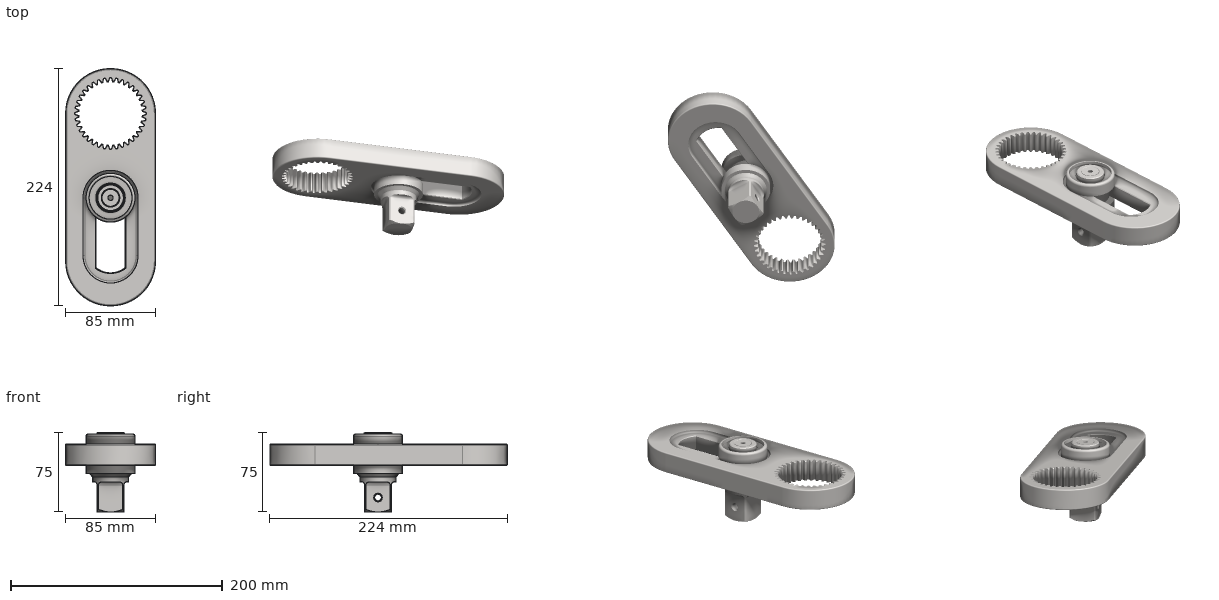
import cadquery as cq
import math


ARM_LENGTH = 224.0
ARM_WIDTH = 85.0
ARM_THICKNESS = 20.2
ARM_EDGE_FILLET = 1.1
ARM_END_RADIUS = ARM_WIDTH / 2
SPLINE_CENTER_Y = 79.5
ARM_CENTER_Y = SPLINE_CENTER_Y + ARM_END_RADIUS - ARM_LENGTH / 2

TOOTH_COUNT = 36
SPLINE_ROOT_RADIUS = 33.5
SPLINE_TIP_RADIUS = 30.0
TOOTH_TIP_CHAMFER = 0.7
ROOT_GAP_ANGLE = math.radians(2.6)
TIP_GAP_ANGLE = math.radians(7.8)

SLOT_TRAVEL = 54.5
SLOT_WIDTH = 27.3
SLOT_END_RADIUS = 22.5
SLOT_END_REACH = 16.4
SLOT_CHAMFER = 0.7
RIM_TAPER = -45
RECESS_DEPTH = 2.7
RECESS_RADIUS = 26.0
RECESS_FLOOR_FILLET = 1.8
WEB_BOTTOM = RECESS_DEPTH
WEB_TOP = ARM_THICKNESS - RECESS_DEPTH
WEB_THICKNESS = WEB_TOP - WEB_BOTTOM

SHANK_RADIUS = 17.0
JOURNAL_RADIUS = 13.0
JOURNAL_CHAMFER_WIDTH = 1.0
JOURNAL_CHAMFER_HEIGHT = 0.7
SPINDLE_TOP = ARM_THICKNESS + 11.0
SPINDLE_LENGTH = 75.0
SPINDLE_BOTTOM = SPINDLE_TOP - SPINDLE_LENGTH
SQUARE_SIDE = 25.3
SQUARE_SHOULDER = -15.5
SQUARE_ROOT_FILLET = 3.0
DRIVE_END_CHAMFER_WIDTH = 4.3
DRIVE_END_CHAMFER_HEIGHT = 2.5
DETENT_HOLE_RADIUS = 3.1
DETENT_HOLE_CHAMFER = 1.0
DETENT_HOLE_HEIGHT = SPINDLE_BOTTOM + 13.7

BUTTON_RADIUS = 8.0
BUTTON_MOUTH_CHAMFER = 0.7
BUTTON_POCKET_DEPTH = 6.7
BUTTON_HOLE_RADIUS = 2.5

COLLAR_RADIUS = 23.0
UPPER_COLLAR_TOP = ARM_THICKNESS + 9.6
UPPER_COLLAR_FILLET = 2.2
UPPER_COLLAR_BORE_RADIUS = 20.2
LOWER_COLLAR_BOTTOM = -7.6
LOWER_CONE_RADIUS = 19.7
LOWER_CONE_HEIGHT = 3.4

DISC_TOP = SPINDLE_TOP - 5.2
DISC_THICKNESS = 1.3
DISC_HOLE_RADIUS = 14.0
DISC_BOTTOM = DISC_TOP - DISC_THICKNESS


def cylinder(radius, bottom, top):
    return cq.Workplane("XY", origin=(0, 0, bottom)).circle(radius).extrude(top - bottom)


def revolved(profile):
    """Body of revolution about the Z axis from (radius, height) points."""
    return cq.Workplane("XZ").polyline(profile).close().revolve(360, (0, 0, 0), (0, 1, 0))


def recess(bottom, floor):
    """Round-ended pocket along the slot travel; `floor` selects its filleted floor."""
    return (
        cq.Workplane("XY", origin=(0, -SLOT_TRAVEL / 2, bottom))
        .slot2D(SLOT_TRAVEL + 2 * RECESS_RADIUS, 2 * RECESS_RADIUS, 90)
        .extrude(RECESS_DEPTH)
        .faces(floor)
        .edges()
        .fillet(RECESS_FLOOR_FILLET)
    )


def guide_prism(start, height, travel=0.0, taper=0.0):
    """Flat-sided prism with gently rounded ends, lengthened along -Y by `travel`."""
    half_width = SLOT_WIDTH / 2
    end_rise = SLOT_END_RADIUS - math.sqrt(SLOT_END_RADIUS**2 - half_width**2)
    corner_y = SLOT_END_REACH - end_rise
    return (
        cq.Workplane("XY", origin=(0, 0, start))
        .moveTo(half_width, -travel - corner_y)
        .lineTo(half_width, corner_y)
        .threePointArc((0, SLOT_END_REACH), (-half_width, corner_y))
        .lineTo(-half_width, -travel - corner_y)
        .threePointArc((0, -travel - SLOT_END_REACH), (half_width, -travel - corner_y))
        .close()
        .extrude(height, taper=taper)
    )


def slot():
    """Through slot, chamfered where it opens into each recess."""
    opening = guide_prism(WEB_BOTTOM, WEB_THICKNESS, SLOT_TRAVEL)
    top_rim = guide_prism(WEB_TOP - SLOT_CHAMFER, SLOT_CHAMFER, SLOT_TRAVEL, RIM_TAPER)
    bottom_rim = guide_prism(WEB_BOTTOM + SLOT_CHAMFER, -SLOT_CHAMFER, SLOT_TRAVEL, RIM_TAPER)
    return opening.union(top_rim).union(bottom_rim)


def spline_hole():
    """Hole with straight-sided teeth; a gap between two teeth lies on the Y axis."""

    def polar(radius, angle):
        return (radius * math.sin(angle), radius * math.cos(angle))

    points = []
    for tooth in range(TOOTH_COUNT):
        gap_angle = 2 * math.pi * tooth / TOOTH_COUNT
        points += [
            polar(SPLINE_TIP_RADIUS, gap_angle - TIP_GAP_ANGLE / 2),
            polar(SPLINE_ROOT_RADIUS, gap_angle - ROOT_GAP_ANGLE / 2),
            polar(SPLINE_ROOT_RADIUS, gap_angle + ROOT_GAP_ANGLE / 2),
            polar(SPLINE_TIP_RADIUS, gap_angle + TIP_GAP_ANGLE / 2),
        ]
    mouth_radius = SPLINE_TIP_RADIUS + TOOTH_TIP_CHAMFER
    bore_profile = [
        (0, 0),
        (mouth_radius, 0),
        (SPLINE_TIP_RADIUS, TOOTH_TIP_CHAMFER),
        (SPLINE_TIP_RADIUS, ARM_THICKNESS - TOOTH_TIP_CHAMFER),
        (mouth_radius, ARM_THICKNESS),
        (0, ARM_THICKNESS),
    ]
    toothed = cq.Workplane("XY").polyline(points).close().extrude(ARM_THICKNESS)
    return toothed.union(revolved(bore_profile)).translate((0, SPLINE_CENTER_Y, 0))


def make_arm():
    arm = (
        cq.Workplane("XY", origin=(0, ARM_CENTER_Y, 0))
        .slot2D(ARM_LENGTH, ARM_WIDTH, 90)
        .extrude(ARM_THICKNESS)
        .faces("<Z or >Z")
        .edges()
        .fillet(ARM_EDGE_FILLET)
    )
    arm = arm.cut(recess(0, ">Z")).cut(recess(WEB_TOP, "<Z"))
    return arm.cut(slot()).cut(spline_hole())


def square_drive_cutter():
    """Everything around the square, with a fillet where the square meets the shank."""
    length = SQUARE_SHOULDER - SPINDLE_BOTTOM
    block_side = 4 * SHANK_RADIUS
    half_side = SQUARE_SIDE / 2
    half_flared = half_side + SQUARE_ROOT_FILLET
    fillet_start = SQUARE_SHOULDER - SQUARE_ROOT_FILLET
    blend = SQUARE_ROOT_FILLET * (1 - math.sqrt(0.5))
    outline = (
        cq.Workplane("XZ", origin=(0, block_side / 2, 0))
        .moveTo(-half_side, SPINDLE_BOTTOM)
        .lineTo(half_side, SPINDLE_BOTTOM)
        .lineTo(half_side, fillet_start)
        .threePointArc((half_side + blend, SQUARE_SHOULDER - blend), (half_flared, SQUARE_SHOULDER))
        .lineTo(-half_flared, SQUARE_SHOULDER)
        .threePointArc((-half_side - blend, SQUARE_SHOULDER - blend), (-half_side, fillet_start))
        .close()
        .extrude(block_side)
    )
    square = outline.intersect(outline.rotate((0, 0, 0), (0, 0, 1), 90))
    block = cq.Workplane("XY", origin=(0, 0, SPINDLE_BOTTOM)).rect(block_side, block_side).extrude(length)
    return block.cut(square)


def detent_hole():
    """Cross hole through the square drive, chamfered at both mouths."""
    half = SQUARE_SIDE / 2
    mouth = DETENT_HOLE_RADIUS + DETENT_HOLE_CHAMFER
    profile = [
        (-half, 0),
        (-half, mouth),
        (-half + DETENT_HOLE_CHAMFER, DETENT_HOLE_RADIUS),
        (half - DETENT_HOLE_CHAMFER, DETENT_HOLE_RADIUS),
        (half, mouth),
        (half, 0),
    ]
    return (
        cq.Workplane("XY", origin=(0, 0, DETENT_HOLE_HEIGHT))
        .polyline(profile)
        .close()
        .revolve(360, (0, 0, 0), (1, 0, 0))
    )


def button_pocket():
    bottom = SPINDLE_TOP - BUTTON_POCKET_DEPTH
    mouth_radius = BUTTON_RADIUS + BUTTON_MOUTH_CHAMFER
    profile = [
        (0, bottom),
        (BUTTON_RADIUS, bottom),
        (BUTTON_RADIUS, SPINDLE_TOP - BUTTON_MOUTH_CHAMFER),
        (mouth_radius, SPINDLE_TOP),
        (0, SPINDLE_TOP),
    ]
    return revolved(profile)


def make_spindle():
    profile = [
        (0, SPINDLE_BOTTOM),
        (SHANK_RADIUS - DRIVE_END_CHAMFER_WIDTH, SPINDLE_BOTTOM),
        (SHANK_RADIUS, SPINDLE_BOTTOM + DRIVE_END_CHAMFER_HEIGHT),
        (SHANK_RADIUS, WEB_BOTTOM),
        (JOURNAL_RADIUS, WEB_BOTTOM),
        (JOURNAL_RADIUS, SPINDLE_TOP - JOURNAL_CHAMFER_HEIGHT),
        (JOURNAL_RADIUS - JOURNAL_CHAMFER_WIDTH, SPINDLE_TOP),
        (0, SPINDLE_TOP),
    ]
    spindle = revolved(profile).union(guide_prism(WEB_BOTTOM, WEB_THICKNESS))
    return spindle.cut(square_drive_cutter()).cut(detent_hole()).cut(button_pocket())


def make_button():
    bottom = SPINDLE_TOP - BUTTON_POCKET_DEPTH
    return cylinder(BUTTON_RADIUS, bottom, SPINDLE_TOP).cut(cylinder(BUTTON_HOLE_RADIUS, bottom, SPINDLE_TOP))


def make_upper_collar():
    """Cup with a wide bore for the disc and a smaller hole for the journal."""
    collar = cylinder(COLLAR_RADIUS, WEB_TOP, UPPER_COLLAR_TOP).edges(">Z").fillet(UPPER_COLLAR_FILLET)
    disc_bore = cylinder(UPPER_COLLAR_BORE_RADIUS, DISC_BOTTOM, UPPER_COLLAR_TOP)
    return collar.cut(disc_bore).cut(cylinder(JOURNAL_RADIUS, WEB_TOP, UPPER_COLLAR_TOP))


def make_disc():
    disc = cylinder(UPPER_COLLAR_BORE_RADIUS, DISC_BOTTOM, DISC_TOP)
    return disc.cut(cylinder(DISC_HOLE_RADIUS, DISC_BOTTOM, DISC_TOP))


def make_lower_collar():
    """Ring around the shank that ends in a short cone."""
    profile = [
        (SHANK_RADIUS, WEB_BOTTOM),
        (COLLAR_RADIUS, WEB_BOTTOM),
        (COLLAR_RADIUS, LOWER_COLLAR_BOTTOM),
        (LOWER_CONE_RADIUS, LOWER_COLLAR_BOTTOM),
        (SHANK_RADIUS, LOWER_COLLAR_BOTTOM - LOWER_CONE_HEIGHT),
    ]
    return revolved(profile)


arm = make_arm()
spindle = make_spindle()
button = make_button()
upper_collar = make_upper_collar()
disc = make_disc()
lower_collar = make_lower_collar()

bodies = [arm, spindle, button, upper_collar, disc, lower_collar]
result = cq.Compound.makeCompound([body.solids().val() for body in bodies])